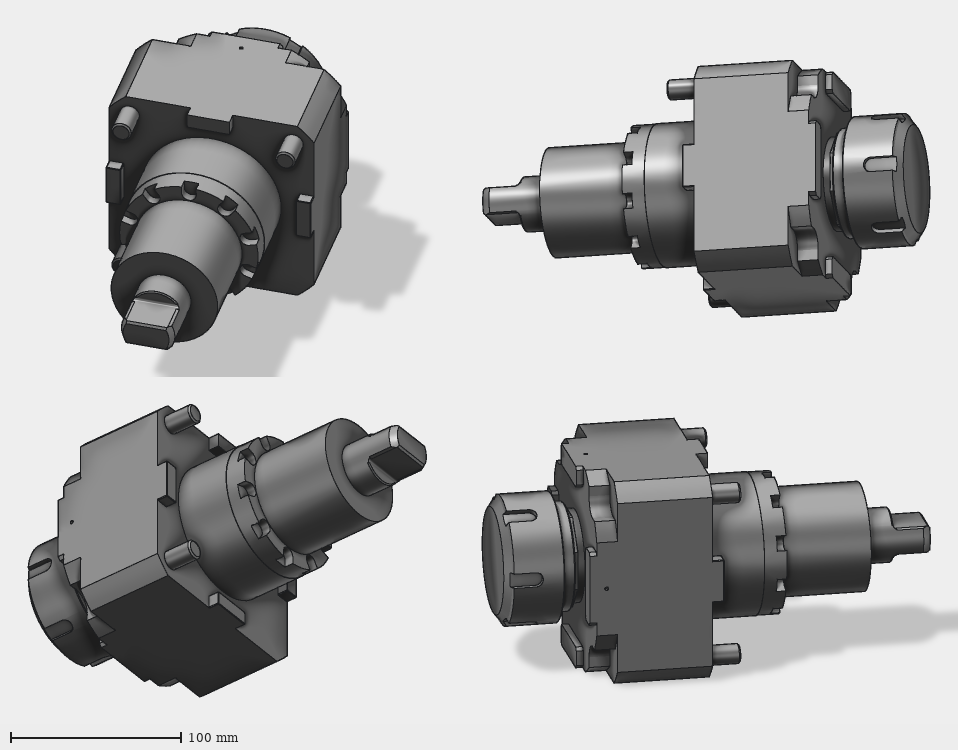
import cadquery as cq

TOTAL_LENGTH = 259.0
NOSE_Y = 118.8
NUT_BACK_Y = NOSE_Y - 35.2
COLLAR_BACK_Y = NOSE_Y - 43.0
FLANGE_KEY_TOP_Y = NOSE_Y - 45.3
FLANGE_FACE_Y = NOSE_Y - 49.5
HOUSING_BACK_Y = 57.0
BARREL_END_Y = -35.2
RING_END_Y = -48.7
SLEEVE_END_Y = -101.0
SHOULDER_Y = -118.0
TANG_END_Y = NOSE_Y - TOTAL_LENGTH

HOUSING_SIDE = 125.0
HOUSING_HALF = HOUSING_SIDE / 2
HOUSING_CORNER_RADIUS = 81.5
FLANGE_RADIUS = 68.9
SCREW_OFFSET = 50.0
SCREW_POCKET_RADIUS = 10.0
OIL_HOLE_D = 2.1
OIL_HOLE_DEPTH = 2.5
OIL_HOLE_Y = 63.5
FLANGE_KEY_WIDTH = 45.3
FLANGE_KEY_DEPTH = 13.0
FLANGE_KEY_CHAMFER = 1.95

SEAT_KEY_WIDTH = 26.0
SEAT_KEY_HEIGHT = 7.0
SEAT_KEY_DEPTH = 9.0
LOOSE_KEY_CHAMFER = 0.5
LOOSE_KEY_END_CHAMFER = 0.4
SCREW_D = 12.0
SCREW_LENGTH = 18.5
SCREW_CHAMFER = 1.0

BARREL_D = 85.0
RING_D = 84.5
SLEEVE_D = 65.0
RING_SLOT_COUNT = 10
RING_SLOT_WIDTH = 8.8
RING_SLOT_DEPTH = 5.7
RING_SLOT_GAP = 0.5

SHAFT_D = 32.5
TANG_THICKNESS = 16.3
SHOULDER_CHAMFER = 0.8
TANG_ROOT_RADIUS = 1.8
TANG_FLAT_HALF_WIDTH = 12.7
TANG_EDGE_DROP = 1.3
TANG_TIP_CHAMFER = 1.3
TANG_CONE_RADIAL = 2.3
TANG_CONE_LENGTH = 4.5

NUT_D = 78.0
NUT_FACE_D = 64.0
NUT_CONE_D = 74.5
NUT_CONE_LENGTH = 4.1
NUT_LIP = 0.8
NUT_BACK_CHAMFER = 0.5
NUT_SLOT_COUNT = 6
NUT_SLOT_WIDTH = 8.8
NUT_SLOT_END = 22.3
NUT_SLOT_FLOOR_RADIUS = 35.7
COLLAR_D = 65.0
COLLAR_CHAMFER = 0.8
NECK_D = 55.7
NECK_SIDES = 8


def cylinder(diameter, y_low, y_high):
    """Cylinder on the tool axis between two stations."""
    return cq.Workplane("XZ", origin=(0, y_low, 0)).circle(diameter / 2).extrude(y_low - y_high)


def block(x_size, z_size, y_low, y_high, x=0.0, z=0.0):
    """Rectangular block between two stations, centred at (x, z)."""
    profile = cq.Workplane("XZ", origin=(0, y_low, 0)).center(x, z).rect(x_size, z_size)
    return profile.extrude(y_low - y_high)


def turned(solid, angle):
    """The solid turned about the tool axis."""
    return solid.rotate((0, 0, 0), (0, 1, 0), angle)


def make_housing():
    """Square block with its corners turned to a common radius."""
    body = block(HOUSING_SIDE, HOUSING_SIDE, 0, HOUSING_BACK_Y)
    return body.intersect(cylinder(2 * HOUSING_CORNER_RADIUS, 0, HOUSING_BACK_Y))


def make_flange():
    flange = block(HOUSING_SIDE, HOUSING_SIDE, HOUSING_BACK_Y, FLANGE_FACE_Y)
    flange = flange.intersect(cylinder(2 * FLANGE_RADIUS, HOUSING_BACK_Y, FLANGE_FACE_Y))
    pocket_inner = SCREW_OFFSET - SCREW_POCKET_RADIUS
    pocket_centre = pocket_inner + HOUSING_HALF / 2
    pocket = block(
        HOUSING_HALF, HOUSING_HALF, HOUSING_BACK_Y, FLANGE_FACE_Y, pocket_centre, pocket_centre
    ).edges("|Y and <X and <Z").fillet(SCREW_POCKET_RADIUS)
    key = block(
        FLANGE_KEY_WIDTH,
        FLANGE_KEY_DEPTH,
        HOUSING_BACK_Y,
        FLANGE_KEY_TOP_Y,
        z=HOUSING_HALF - FLANGE_KEY_DEPTH / 2,
    ).edges("|Y").chamfer(FLANGE_KEY_CHAMFER)
    for quarter in range(4):
        flange = flange.cut(turned(pocket, 90 * quarter))
        flange = flange.union(turned(key, 90 * quarter))
    hole = (
        cq.Workplane("XY", origin=(0, OIL_HOLE_Y, HOUSING_HALF))
        .circle(OIL_HOLE_D / 2)
        .extrude(-OIL_HOLE_DEPTH)
    )
    return flange.cut(hole).cut(turned(hole, -90))


def make_seat_keys():
    """One plain key at the top of the seating face and three with chamfered edges."""
    fixed_key = block(
        SEAT_KEY_WIDTH, SEAT_KEY_DEPTH, -SEAT_KEY_HEIGHT, 0, z=HOUSING_HALF - SEAT_KEY_DEPTH / 2
    )
    loose_key = fixed_key.edges("|Y").chamfer(LOOSE_KEY_CHAMFER)
    loose_key = loose_key.faces("<Y").chamfer(LOOSE_KEY_END_CHAMFER)
    keys = fixed_key
    for quarter in (1, 2, 3):
        keys = keys.union(turned(loose_key, 90 * quarter))
    return keys


def make_screws():
    """Screw ends in three of the four corners."""
    corners = [(-SCREW_OFFSET, SCREW_OFFSET), (SCREW_OFFSET, SCREW_OFFSET), (-SCREW_OFFSET, -SCREW_OFFSET)]
    screws = cq.Workplane("XZ").pushPoints(corners).circle(SCREW_D / 2).extrude(SCREW_LENGTH)
    return screws.faces("<Y").chamfer(SCREW_CHAMFER)


def make_barrel():
    ring = cylinder(RING_D, RING_END_Y, BARREL_END_Y)
    slot_floor_y = RING_END_Y + RING_SLOT_DEPTH
    slot_end_z = (SLEEVE_D + RING_SLOT_WIDTH) / 2 + RING_SLOT_GAP
    slot_length = RING_D / 2
    slot = block(
        RING_SLOT_WIDTH, slot_length, RING_END_Y, slot_floor_y, z=slot_end_z + slot_length / 2
    ).union(cylinder(RING_SLOT_WIDTH, RING_END_Y, slot_floor_y).translate((0, 0, slot_end_z)))
    for index in range(RING_SLOT_COUNT):
        ring = ring.cut(turned(slot, 360 / RING_SLOT_COUNT * index))
    barrel = cylinder(BARREL_D, BARREL_END_Y, 0)
    return barrel.union(ring).union(cylinder(SLEEVE_D, SLEEVE_END_Y, 0))


def make_shaft():
    radius = SHAFT_D / 2
    half_thickness = TANG_THICKNESS / 2
    bar = (
        cq.Workplane("XY")
        .moveTo(0, SLEEVE_END_Y)
        .lineTo(radius, SLEEVE_END_Y)
        .lineTo(radius, TANG_END_Y + TANG_CONE_LENGTH)
        .lineTo(radius - TANG_CONE_RADIAL, TANG_END_Y)
        .lineTo(0, TANG_END_Y)
        .close()
        .revolve(360, (0, 0, 0), (0, 1, 0))
    )
    bevel_z = half_thickness - TANG_EDGE_DROP
    tang = (
        cq.Workplane("XZ", origin=(0, SLEEVE_END_Y, 0))
        .polyline([
            (radius, bevel_z),
            (TANG_FLAT_HALF_WIDTH, half_thickness),
            (-TANG_FLAT_HALF_WIDTH, half_thickness),
            (-radius, bevel_z),
            (-radius, -bevel_z),
            (-TANG_FLAT_HALF_WIDTH, -half_thickness),
            (TANG_FLAT_HALF_WIDTH, -half_thickness),
            (radius, -bevel_z),
        ])
        .close()
        .extrude(SLEEVE_END_Y - TANG_END_Y)
    )
    tang = tang.faces("<Y").edges("|X").chamfer(TANG_TIP_CHAMFER)
    root = block(
        SHAFT_D,
        TANG_THICKNESS + 2 * TANG_ROOT_RADIUS,
        SHOULDER_Y - TANG_ROOT_RADIUS,
        SHOULDER_Y + SHOULDER_CHAMFER,
    )
    for side in (1, -1):
        root = root.cut(
            cq.Workplane("YZ", origin=(-radius, 0, 0))
            .center(SHOULDER_Y - TANG_ROOT_RADIUS, side * (half_thickness + TANG_ROOT_RADIUS))
            .circle(TANG_ROOT_RADIUS)
            .extrude(SHAFT_D)
        )
    journal = cylinder(SHAFT_D, SHOULDER_Y, SLEEVE_END_Y).faces("<Y").chamfer(SHOULDER_CHAMFER)
    return bar.intersect(journal.union(tang).union(root))


def make_nut():
    nut = (
        cq.Workplane("XY")
        .moveTo(0, NOSE_Y)
        .lineTo(NUT_FACE_D / 2, NOSE_Y)
        .lineTo(NUT_CONE_D / 2, NOSE_Y - NUT_CONE_LENGTH)
        .lineTo(NUT_D / 2, NOSE_Y - NUT_CONE_LENGTH - NUT_LIP)
        .lineTo(NUT_D / 2, NUT_BACK_Y + NUT_BACK_CHAMFER)
        .lineTo(NUT_D / 2 - NUT_BACK_CHAMFER, NUT_BACK_Y)
        .lineTo(0, NUT_BACK_Y)
        .close()
        .revolve(360, (0, 0, 0), (0, 1, 0))
    )
    slot_centre_y = NOSE_Y - NUT_SLOT_END + NUT_SLOT_WIDTH / 2
    slot_height = NUT_D / 2 - NUT_SLOT_FLOOR_RADIUS
    floor = cq.Workplane("XY", origin=(0, slot_centre_y, NUT_SLOT_FLOOR_RADIUS))
    straight = floor.rect(NUT_SLOT_WIDTH, 2 * (NOSE_Y - slot_centre_y)).extrude(slot_height)
    straight = straight.intersect(block(NUT_D, 2 * NUT_D, slot_centre_y, NOSE_Y))
    slot = straight.union(floor.circle(NUT_SLOT_WIDTH / 2).extrude(slot_height))
    pitch = 360 / NUT_SLOT_COUNT
    for index in range(NUT_SLOT_COUNT):
        nut = nut.cut(turned(slot, pitch * (index + 0.5)))
    return nut


def make_neck():
    collar = cylinder(COLLAR_D, COLLAR_BACK_Y, NUT_BACK_Y).faces("<Y").chamfer(COLLAR_CHAMFER)
    neck = cylinder(NECK_D, FLANGE_FACE_Y, FLANGE_KEY_TOP_Y)
    octagon = (
        cq.Workplane("XZ", origin=(0, FLANGE_KEY_TOP_Y, 0))
        .polygon(NECK_SIDES, NECK_D, circumscribed=True)
        .extrude(FLANGE_KEY_TOP_Y - COLLAR_BACK_Y)
    )
    return collar.union(octagon).union(neck)


result = make_housing()
for feature in (
    make_flange(), make_seat_keys(), make_screws(), make_barrel(), make_shaft(), make_nut(), make_neck()
):
    result = result.union(feature)